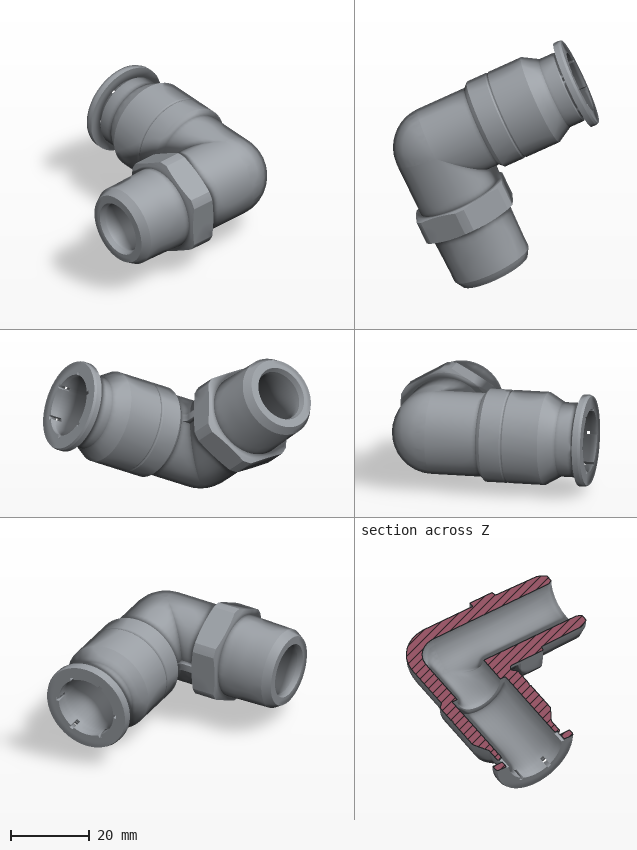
import cadquery as cq
import math


elbow_radius = 10.65
bore_radius = 13.0 / 2

hex_flats = 24.0
hex_corner_radius = 26.4 / 2
hex_start = 14.35
hex_length = 6.8
hex_end = hex_start + hex_length
hex_bevel_radius = hex_flats / 2
hex_bevel_length = 0.35
lip_length = 0.3

stud_length = 36.0
tip_chamfer_length = 2.1
thread_base_radius = 10.75
thread_tip_radius = 10.45
tip_radius = 9.15
bore_mouth_radius = 7.05
bore_mouth_depth = 1.35

overall_length = 52.7
face_x = hex_flats / 2 - overall_length
flange_radius = 23.4 / 2
flange_length = 2.05
flange_chamfer = 0.65
flange_chamfer_height = 0.25
sleeve_radius = 8.75
body_start = 2.9
body_front_radius = 18.95 / 2
body_front_chamfer = 0.25
cone_start = 7.05
cone_end = 11.1
body_radius = 23.7 / 2
groove_start = 20.3
groove_width = 0.8
groove_depth = 0.25
shoulder_start = 26.3
body_end = 27.5
socket_radius = 16.0 / 2

slot_count = 6
slot_width = 1.0
slot_length = 3.25

rib_width = 1.9
rib_fillet = 1.1


def ball_corner(radius):
    """Quarter ball filling the outside of the bend between the two arms."""
    return (
        cq.Workplane("XZ")
        .moveTo(0, -radius)
        .threePointArc((radius, 0), (0, radius))
        .close()
        .revolve(90, (0, 0, 0), (0, 1, 0))
    )


def elbow():
    """Two crossing round arms closed by a ball at the corner."""
    socket_arm = cq.Workplane("YZ").circle(elbow_radius).extrude(face_x + body_end)
    stud_arm = cq.Workplane("XZ").circle(elbow_radius).extrude(hex_start)
    return socket_arm.union(stud_arm).union(ball_corner(elbow_radius))


def socket():
    """Release flange, sleeve and stepped body turned about X."""
    groove_middle = groove_start + groove_width / 2
    groove_end = groove_start + groove_width
    profile = [
        (0, 0),
        (0, flange_radius - flange_chamfer_height),
        (flange_chamfer, flange_radius),
        (flange_length, flange_radius),
        (flange_length, sleeve_radius),
        (body_start, sleeve_radius),
        (body_start, body_front_radius - body_front_chamfer),
        (body_start + body_front_chamfer, body_front_radius),
        (cone_start, body_front_radius),
        (cone_end, body_radius),
        (groove_start, body_radius),
        (groove_middle, body_radius - groove_depth),
        (groove_end, body_radius),
        (shoulder_start, body_radius),
        (body_end, elbow_radius),
        (body_end, 0),
    ]
    turned = cq.Workplane("XY").polyline(profile).close().revolve(360, (0, 0, 0), (1, 0, 0))
    return turned.translate((face_x, 0, 0))


def hex_collar():
    """Hexagon with flats facing X, rounded corners and bevelled ends."""
    corner_distance = hex_flats / math.cos(math.pi / 6)
    hexagon = (
        cq.Workplane("XZ", origin=(0, -hex_start, 0))
        .transformed(rotate=(0, 0, 30))
        .polygon(6, corner_distance)
        .extrude(hex_length)
    )
    envelope = (
        cq.Workplane("XY")
        .moveTo(0, -hex_start)
        .lineTo(hex_bevel_radius, -hex_start)
        .lineTo(hex_corner_radius, -hex_start - hex_bevel_length)
        .lineTo(hex_corner_radius, -hex_end + hex_bevel_length)
        .lineTo(hex_bevel_radius, -hex_end)
        .lineTo(0, -hex_end)
        .close()
        .revolve(360, (0, 0, 0), (0, 1, 0))
    )
    return hexagon.intersect(envelope)


def thread():
    """Conical lip below the hexagon, then a slightly tapered stud with a chamfered tip."""
    return (
        cq.Workplane("XY")
        .moveTo(0, -hex_end)
        .lineTo(hex_bevel_radius, -hex_end)
        .lineTo(thread_base_radius, -hex_end - lip_length)
        .lineTo(thread_tip_radius, -stud_length + tip_chamfer_length)
        .lineTo(tip_radius, -stud_length)
        .lineTo(0, -stud_length)
        .close()
        .revolve(360, (0, 0, 0), (0, 1, 0))
    )


def rib():
    """Web joining the socket body to the hexagon, with a concave outer corner."""
    rib_x = -hex_flats / 2
    body_end_x = face_x + body_end
    return (
        cq.Workplane("XY")
        .moveTo(body_end_x, -elbow_radius)
        .lineTo(rib_x - rib_fillet, -elbow_radius)
        .radiusArc((rib_x, -elbow_radius - rib_fillet), rib_fillet)
        .lineTo(rib_x, -hex_start)
        .lineTo(-bore_radius, -hex_start)
        .lineTo(-bore_radius, -bore_radius)
        .lineTo(body_end_x, -bore_radius)
        .close()
        .extrude(rib_width / 2, both=True)
    )


def bores():
    """Bent passage, tube socket and flared stud mouth."""
    socket_passage = cq.Workplane("YZ").circle(bore_radius).extrude(face_x)
    stud_passage = cq.Workplane("XZ").circle(bore_radius).extrude(stud_length)
    tube_seat = cq.Workplane("YZ", origin=(face_x, 0, 0)).circle(socket_radius).extrude(shoulder_start)
    mouth = (
        cq.Workplane("XZ", origin=(0, -stud_length, 0))
        .circle(bore_mouth_radius)
        .workplane(offset=-bore_mouth_depth)
        .circle(bore_radius)
        .loft()
    )
    return [socket_passage, stud_passage, ball_corner(bore_radius), tube_seat, mouth]


def sleeve_slots():
    """Radial slots cut from the open face through the sleeve wall."""
    slot = cq.Workplane("XY").box(slot_length, sleeve_radius, slot_width, centered=(False, False, True))
    return [
        slot.translate((face_x, 0, 0)).rotate((0, 0, 0), (1, 0, 0), index * 360 / slot_count)
        for index in range(slot_count)
    ]


result = elbow().union(socket()).union(hex_collar()).union(thread()).union(rib())
for cutter in bores() + sleeve_slots():
    result = result.cut(cutter)